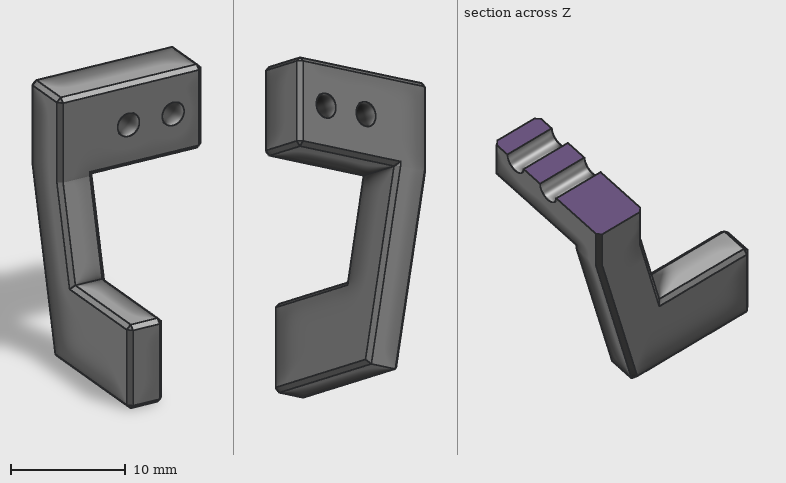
import cadquery as cq

length = 17
depth = 14.5
height = 25

arm_width = 5
kink_height = 17
foot_height = 8
foot_left = 4
inner_corner_x = 7.1
plate_thickness = 3.5
edge_chamfer = 0.4

hole_count = 2
hole_diameter = 2.2
hole_height = 21
hole_setback = 3
hole_spacing = 4.5


def make_plate():
    """Thin plate: upright arm, slanted neck and foot."""
    outline = [
        (0, height),
        (arm_width, height),
        (arm_width, kink_height),
        (inner_corner_x, foot_height),
        (length, foot_height),
        (length, 0),
        (foot_left, 0),
        (0, kink_height),
    ]
    plate = cq.Workplane("XZ").polyline(outline).close().extrude(-plate_thickness)
    rims = plate.faces("<Y or >Y").edges()
    square_corners = plate.faces(">Z or >X").edges("|Y")
    return rims.add(square_corners).chamfer(edge_chamfer)


def make_head():
    """Deep block at the top of the arm."""
    head_height = height - kink_height
    return (
        cq.Workplane("XY")
        .workplane(offset=kink_height)
        .box(arm_width, depth, head_height, centered=False)
        .edges()
        .chamfer(edge_chamfer)
    )


def drill_holes(body):
    """Cut the row of holes through the head along X."""
    for index in range(hole_count):
        hole_y = depth - hole_setback - index * hole_spacing
        hole = (
            cq.Workplane("YZ")
            .center(hole_y, hole_height)
            .circle(hole_diameter / 2)
            .extrude(arm_width)
        )
        body = body.cut(hole)
    return body


result = drill_holes(make_plate().union(make_head()).clean())